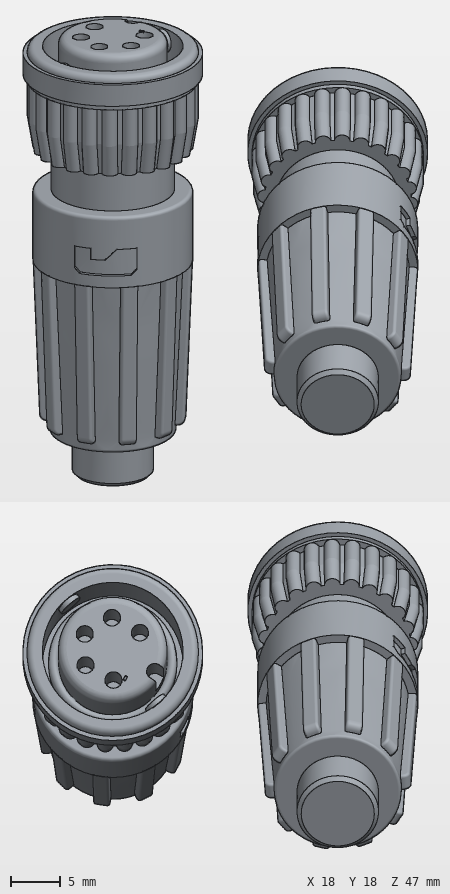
import math
import cadquery as cq

total_height = 46.95
stub_top = 4.6
handle_top = 23.0
collar_top = 30.55
nut_bottom = 35.0
ridge_bend = 38.35
ridge_top = 42.35
flange_bottom = 42.9
flange_top = 45.2
nut_top = 45.9

stub_radius = 4.1
stub_chamfer = 0.4
handle_bottom_radius = 6.35
handle_top_radius = 7.2
handle_fillet = 0.3
collar_radius = 8.03
collar_fillet = 0.38
neck_radius = 6.2

rib_count = 10
rib_first_angle = -88.2
rib_width = 1.65
rib_bottom = 5.6
rib_end_radius = 0.75
rib_bottom_reach = 7.3
rib_top_reach = 8.0
rib_edge_fillet = 0.3

latch_angles = (19.5, 199.5)
latch_half_width = 3.15
latch_bottom = 24.25
latch_top = 27.13
latch_notch_floor = 25.95
latch_notch_left = -1.45
latch_notch_right = 0.0
latch_corner = 0.55
latch_depth = 0.4
latch_floor_radius = collar_radius - latch_depth

flange_radius = 9.0
nut_radius = 8.6
rim_fillet = 0.65
bore_radius = 7.05
bore_floor = 39.4
nut_taper = 0.55

ridge_count = 24
ridge_first_angle = 7.8
ridge_radius = 0.8
ridge_orbit = nut_radius - ridge_radius
valley_radius = 7.95

lug_angles = (69.0, 249.0)
lug_radius = 1.2
lug_top = 45.75
lug_reach = 6.48
lug_embedding = 0.45
lug_root_radius = bore_radius + lug_embedding

insert_bottom = 37.55
insert_radius = 5.45
insert_fillet = 0.85
shell_outer_radius = 6.45
shell_top = 41.3
contact_circle = 3.2
contact_radius = 0.85
contact_depth = 4.7
contact_angles = (30, 150, 210, 270, 330)
keyway_radius = 0.8
keyway_center = 4.8
marker_x = 2.0
marker_y = 2.55
marker_length = 0.45
marker_width = 0.25
marker_depth = 0.25


def disc(radius, bottom, top):
    """Upright cylinder between two heights."""
    return cq.Workplane("XY").workplane(offset=bottom).circle(radius).extrude(top - bottom)


def frustum(bottom_radius, top_radius, bottom, top):
    """Upright cone frustum between two heights."""
    lower = cq.Workplane("XY").workplane(offset=bottom).circle(bottom_radius)
    return lower.workplane(offset=top - bottom).circle(top_radius).loft(ruled=True)


def around_axis(shape, angles):
    """Union of copies of a shape turned about Z to the given angles."""
    copies = [shape.rotate((0, 0, 0), (0, 0, 1), angle).val() for angle in angles]
    return cq.Workplane("XY").newObject(copies).combine()


def make_handle():
    """Cable stub, tapered grip, collar and neck."""
    stub = disc(stub_radius, 0, stub_top).faces("<Z").chamfer(stub_chamfer)
    grip = frustum(handle_bottom_radius, handle_top_radius, stub_top, handle_top)
    grip = grip.faces("<Z").edges().fillet(handle_fillet)
    collar = disc(collar_radius, handle_top, collar_top).faces(">Z").edges().fillet(collar_fillet)
    neck = disc(neck_radius, collar_top, nut_bottom)
    return stub.union(grip).union(collar).union(neck)


def make_ribs():
    """Tapered ribs along the handle, rounded at the lower end and along both outer edges."""
    root_radius = handle_bottom_radius / 2
    end_center = (rib_bottom_reach - rib_end_radius, rib_bottom + rib_end_radius)
    diagonal = rib_end_radius * math.sqrt(0.5)
    rib = (
        cq.Workplane("XZ")
        .moveTo(root_radius, rib_bottom)
        .lineTo(end_center[0], rib_bottom)
        .threePointArc(
            (end_center[0] + diagonal, end_center[1] - diagonal),
            (rib_bottom_reach, end_center[1]),
        )
        .lineTo(rib_top_reach, handle_top)
        .lineTo(root_radius, handle_top)
        .close()
        .extrude(rib_width / 2, both=True)
    )
    rib = rib.faces(">X").edges("not |Y").fillet(rib_edge_fillet)
    step = 360 / rib_count
    return around_axis(rib, [rib_first_angle + i * step for i in range(rib_count)])


def make_latch_recesses():
    """Shallow latch-shaped pockets sunk into the collar."""
    slope_width = latch_top - latch_notch_floor
    outline = (
        cq.Workplane("XZ")
        .moveTo(-latch_half_width, latch_top)
        .lineTo(latch_notch_left, latch_top)
        .lineTo(latch_notch_left, latch_notch_floor)
        .lineTo(latch_notch_right, latch_notch_floor)
        .lineTo(latch_notch_right + slope_width, latch_top)
        .lineTo(latch_half_width, latch_top)
        .lineTo(latch_half_width, latch_bottom + latch_corner)
        .lineTo(latch_half_width - latch_corner, latch_bottom)
        .lineTo(-latch_half_width + latch_corner, latch_bottom)
        .lineTo(-latch_half_width, latch_bottom + latch_corner)
        .close()
    )
    pocket = outline.extrude(2 * collar_radius)
    pocket = pocket.cut(disc(latch_floor_radius, handle_top, collar_top))
    return around_axis(pocket, latch_angles)


def make_nut():
    """Coupling nut body with flange and rounded rim, still without bore."""
    taper = frustum(valley_radius - nut_taper, valley_radius, nut_bottom, ridge_bend)
    core = disc(valley_radius, ridge_bend, ridge_top)
    band = disc(nut_radius, ridge_top, flange_bottom)
    flange = disc(flange_radius, flange_bottom, flange_top)
    rim = disc(nut_radius, flange_top, nut_top).faces(">Z").edges().fillet(rim_fillet)
    return taper.union(core).union(band).union(flange).union(rim)


def make_ridges():
    """Round ridges: upright above the bend, leaning inward below it."""
    upright = disc(ridge_radius, ridge_bend, ridge_top).translate((ridge_orbit, 0, 0))
    leaning = (
        cq.Workplane("XY")
        .workplane(offset=nut_bottom)
        .center(ridge_orbit - nut_taper, 0)
        .circle(ridge_radius)
        .workplane(offset=ridge_bend - nut_bottom)
        .center(nut_taper, 0)
        .circle(ridge_radius)
        .loft(ruled=True)
    )
    step = 360 / ridge_count
    return around_axis(upright.union(leaning), [ridge_first_angle + i * step for i in range(ridge_count)])


def make_bore():
    """Space in the nut around the insert, leaving a shell wall with a fully rounded top."""
    lip_radius = (shell_outer_radius - insert_radius) / 2
    lip_base = shell_top - lip_radius
    return (
        cq.Workplane("XZ")
        .moveTo(insert_radius, nut_top)
        .lineTo(bore_radius, nut_top)
        .lineTo(bore_radius, bore_floor)
        .lineTo(shell_outer_radius, bore_floor)
        .lineTo(shell_outer_radius, lip_base)
        .threePointArc((insert_radius + lip_radius, shell_top), (insert_radius, lip_base))
        .close()
        .revolve(360, (0, 0, 0), (0, 1, 0))
    )


def make_lugs():
    """Rounded bayonet lugs standing inward from the bore wall."""
    lug = (
        cq.Workplane("YZ")
        .workplane(offset=lug_reach)
        .center(0, lug_top - lug_radius)
        .circle(lug_radius)
        .extrude(lug_root_radius - lug_reach)
    )
    return around_axis(lug, lug_angles)


def make_insert():
    """Contact insert with rounded rim, contact holes, keyway and pin-one marker."""
    insert = disc(insert_radius, insert_bottom, total_height)
    insert = insert.faces(">Z").edges().fillet(insert_fillet)
    face = cq.Workplane("XY").workplane(offset=total_height)
    centers = [
        (contact_circle * math.cos(math.radians(a)), contact_circle * math.sin(math.radians(a)))
        for a in contact_angles
    ]
    contacts = face.pushPoints(centers).circle(contact_radius).extrude(-contact_depth)
    keyway = face.center(0, keyway_center).circle(keyway_radius).extrude(-contact_depth)
    keyway_mouth = (
        face.center(0, keyway_center + keyway_radius)
        .rect(2 * keyway_radius, 2 * keyway_radius)
        .extrude(-contact_depth)
    )
    marker = face.center(marker_x, marker_y).rect(marker_length, marker_width).extrude(-marker_depth)
    return insert.cut(contacts).cut(keyway).cut(keyway_mouth).cut(marker)


handle = make_handle().union(make_ribs()).cut(make_latch_recesses())
nut = make_nut().union(make_ridges()).cut(make_bore()).union(make_lugs())
inside = disc(insert_radius, insert_bottom, total_height)
result = handle.union(nut.cut(inside).union(make_insert()))